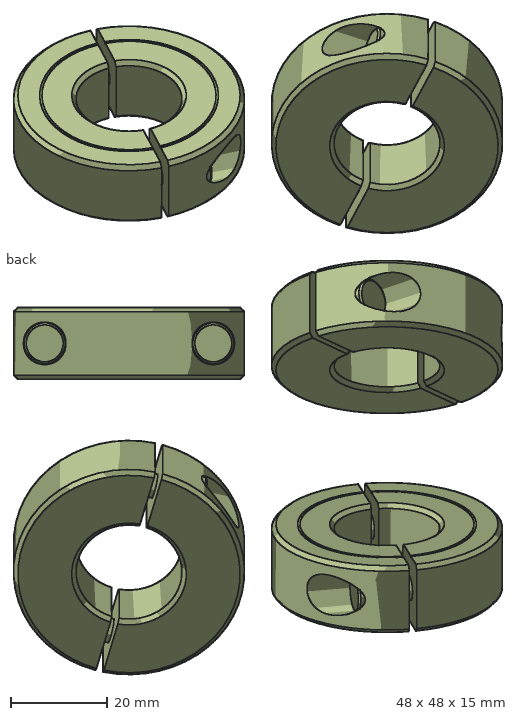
import cadquery as cq

outer_radius = 24.0
bore_radius = 11.0
width = 15.0
edge_chamfer = 0.9
split_gap = 1.6

groove_path_radius = 18.35
groove_radius = 0.25

screw_offset = 17.5
shank_radius = 2.55
head_radius = 4.25
head_height = 5.0
head_chamfer = 0.45
head_top_y = 11.1
shank_length = 16.0
counterbore_radius = 4.4

head_seat_y = head_top_y - head_height
shank_tip_y = head_seat_y - shank_length
screw_sides = (-1, 1)


def cylinder_along_y(x, start_y, end_y, radius):
    """Cylinder at mid-width height that runs in +Y from start_y to end_y."""
    return cq.Workplane(
        obj=cq.Solid.makeCylinder(radius, end_y - start_y, cq.Vector(x, start_y, 0), cq.Vector(0, 1, 0))
    )


def make_ring():
    """Complete ring with chamfered rims and the marker groove, before it is split."""
    ring = (
        cq.Workplane("XY")
        .circle(outer_radius)
        .circle(bore_radius)
        .extrude(width / 2, both=True)
        .faces("<Z or >Z")
        .edges()
        .chamfer(edge_chamfer)
    )
    groove = cq.Workplane(
        obj=cq.Solid.makeTorus(groove_path_radius, groove_radius, cq.Vector(0, 0, width / 2))
    )
    return ring.cut(groove)


def make_half(ring, side):
    """Part of the ring on the +Y (side = 1) or -Y (side = -1) side of the split gap."""
    keep_centre_y = side * (split_gap + outer_radius) / 2
    keep_box = cq.Workplane("XY").box(2 * outer_radius, outer_radius, width)
    return ring.intersect(keep_box.translate((0, keep_centre_y, 0)))


def make_head_half(ring):
    """+Y half, with a shank hole and a counterbore open to the rim for each screw."""
    half = make_half(ring, 1)
    for side in screw_sides:
        x = side * screw_offset
        half = half.cut(cylinder_along_y(x, 0, head_seat_y, shank_radius))
        half = half.cut(cylinder_along_y(x, head_seat_y, outer_radius, counterbore_radius))
    return half


def make_thread_half(ring):
    """-Y half, with a blind hole that takes the end of each screw shank."""
    half = make_half(ring, -1)
    for side in screw_sides:
        half = half.cut(cylinder_along_y(side * screw_offset, shank_tip_y, 0, shank_radius))
    return half


def make_screw(side):
    """Cap screw with a chamfered cylindrical head."""
    x = side * screw_offset
    head = cylinder_along_y(x, head_seat_y, head_top_y, head_radius).faces(">Y").chamfer(head_chamfer)
    shank = cylinder_along_y(x, shank_tip_y, head_seat_y, shank_radius)
    return head.union(shank)


collar_ring = make_ring()
head_half = make_head_half(collar_ring)
thread_half = make_thread_half(collar_ring)
screws = [make_screw(side) for side in screw_sides]

result = cq.Compound.makeCompound(
    [head_half.val(), thread_half.val(), *[screw.val() for screw in screws]]
)